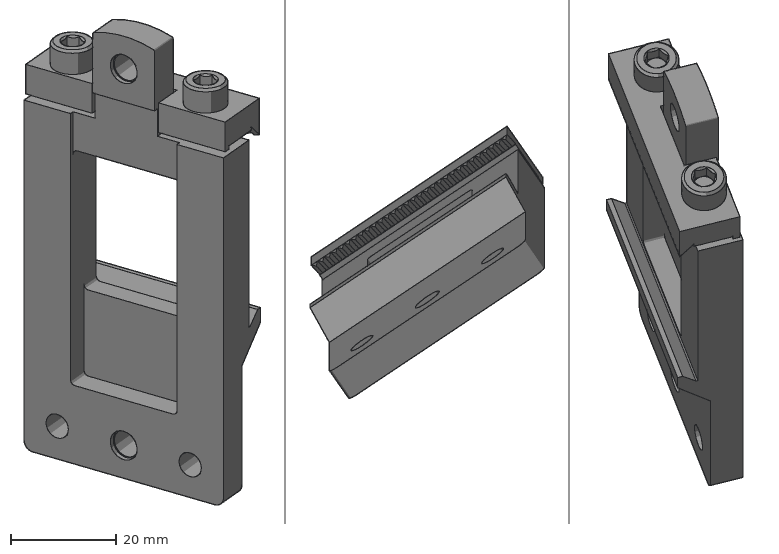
import cadquery as cq
import math

WIDTH = 45.0
HALF_WIDTH = WIDTH / 2
RAIL_TOP = 74.25
RAIL_DEPTH = 9.0
BASE_DEPTH = 6.5
BOTTOM_CORNER_RADIUS = 2.0

WINDOW_WIDTH = 24.0
WINDOW_TOP = 66.2
WINDOW_BOTTOM = 35.0
POCKET_BOTTOM = 16.7
POCKET_DEPTH = 4.75
WINDOW_CORNER_RADIUS = 1.0
BAR_RECESS = 0.9

HOOK_REACH = 13.0
HOOK_TIP_TOP = 36.95
HOOK_TIP_BOTTOM = 33.8
HOOK_TIP_WIDTH = 1.0
HOOK_ROOT_HEIGHT = 34.5
HOOK_ROOT_WIDTH = 0.35
HOOK_UNDERSIDE_START = HOOK_TIP_BOTTOM - (HOOK_REACH - BASE_DEPTH)

TAB_WIDTH = 14.0
TAB_TOP = 94.0
TAB_STEP = 80.0
TAB_ARC_RADIUS = 22.0
TAB_EDGE_RADIUS = 0.5

BASE_HOLE_HEIGHT = 7.0
BASE_HOLE_OFFSET = 15.0
BASE_HOLE_DIAMETER = 5.0
EYE_HOLE_SPACING = 80.0
EYE_HOLE_HEIGHT = BASE_HOLE_HEIGHT + EYE_HOLE_SPACING
EYE_HOLE_DIAMETER = 5.5
EYE_MOUTH_DIAMETER = 6.0
EYE_MOUTH_DEPTH = 1.0

CLAMP_FRONT = 0.6
CLAMP_REAR = 12.6
CLAMP_TOP = 81.6
CLAMP_UNDERSIDE = 76.0
CLAMP_LIP_BOTTOM = 75.3
CLAMP_LIP_REAR = 2.0
CLAMP_TIP_BOTTOM = 73.8
JAW_START = 9.75
JAW_DROP = CLAMP_UNDERSIDE - CLAMP_TIP_BOTTOM
TAB_CLEARANCE = 0.5

TOOTH_PITCH = 1.5
TOOTH_DEPTH = 0.5
TOOTH_COUNT = round(WIDTH / TOOTH_PITCH)

SCREW_OFFSET = 15.0
SCREW_Y = 5.4
SCREW_DIAMETER = 5.0
SCREW_LENGTH = 20.0
SCREW_CLEARANCE_DIAMETER = 5.5
HEAD_DIAMETER = 8.5
HEAD_HEIGHT = 5.0
HEAD_CHAMFER = 0.5
SOCKET_FLATS = 4.0
SOCKET_CORNERS = SOCKET_FLATS / math.cos(math.pi / 6)
SOCKET_DEPTH = 2.5
SOCKET_MOUTH_CHAMFER = 0.1
SOCKET_CONE_DEPTH = SOCKET_FLATS / 2 * math.tan(math.pi / 6)

SCREW_POINTS = [(-SCREW_OFFSET, SCREW_Y), (SCREW_OFFSET, SCREW_Y)]


def front_box(width, bottom, top, front, rear):
    """Block centred on X between two heights and two depths."""
    return (
        cq.Workplane("XY")
        .box(width, rear - front, top - bottom, centered=(True, False, False))
        .translate((0, front, bottom))
    )


def side_prism(outline):
    """Closed (Y, Z) outline extruded over the full width."""
    return cq.Workplane("YZ").polyline(outline).close().extrude(HALF_WIDTH, both=True)


def front_hole(x, z, diameter, depth):
    """Cylinder running from the front face toward +Y."""
    return cq.Workplane("XZ", origin=(x, 0, z)).circle(diameter / 2).extrude(-depth)


def make_eye_tab():
    half = TAB_WIDTH / 2
    shoulder = TAB_TOP - TAB_ARC_RADIUS + math.sqrt(TAB_ARC_RADIUS**2 - half**2)
    tab = (
        cq.Workplane("XZ")
        .moveTo(-half, TAB_STEP)
        .lineTo(half, TAB_STEP)
        .lineTo(half, shoulder)
        .threePointArc((0, TAB_TOP), (-half, shoulder))
        .close()
        .extrude(-BASE_DEPTH)
    )
    tab = tab.edges("|Y").edges(">Z").fillet(TAB_EDGE_RADIUS)
    neck = front_box(TAB_WIDTH, RAIL_TOP, TAB_STEP, BAR_RECESS, BASE_DEPTH)
    return tab.union(neck)


def make_frame():
    frame = side_prism([
        (0, 0),
        (BASE_DEPTH, 0),
        (BASE_DEPTH, HOOK_UNDERSIDE_START),
        (HOOK_REACH, HOOK_TIP_BOTTOM),
        (HOOK_REACH, HOOK_TIP_TOP),
        (HOOK_REACH - HOOK_TIP_WIDTH, HOOK_TIP_TOP),
        (RAIL_DEPTH + HOOK_ROOT_WIDTH, HOOK_ROOT_HEIGHT),
        (RAIL_DEPTH, HOOK_ROOT_HEIGHT),
        (RAIL_DEPTH, RAIL_TOP),
        (0, RAIL_TOP),
    ])
    frame = frame.edges("|Y and <Z").fillet(BOTTOM_CORNER_RADIUS)

    pocket = front_box(WINDOW_WIDTH, POCKET_BOTTOM, WINDOW_TOP, 0, POCKET_DEPTH)
    window = front_box(WINDOW_WIDTH, WINDOW_BOTTOM, WINDOW_TOP, 0, RAIL_DEPTH)
    bar_recess = front_box(WINDOW_WIDTH, WINDOW_TOP - WINDOW_CORNER_RADIUS, RAIL_TOP, 0, BAR_RECESS)
    for opening in (pocket, window):
        frame = frame.cut(opening.edges("|Y").fillet(WINDOW_CORNER_RADIUS))
    frame = frame.cut(bar_recess).union(make_eye_tab())

    for side in (-1, 1):
        x = side * BASE_HOLE_OFFSET
        frame = frame.cut(front_hole(x, BASE_HOLE_HEIGHT, BASE_HOLE_DIAMETER, BASE_DEPTH))
    for height in (BASE_HOLE_HEIGHT, EYE_HOLE_HEIGHT):
        hole = front_hole(0, height, EYE_HOLE_DIAMETER, BASE_DEPTH)
        mouth = front_hole(0, height, EYE_MOUTH_DIAMETER, EYE_MOUTH_DEPTH)
        frame = frame.cut(hole).cut(mouth)

    screw_hole_bottom = CLAMP_TOP - SCREW_LENGTH
    screw_holes = (
        cq.Workplane("XY", origin=(0, 0, screw_hole_bottom))
        .pushPoints(SCREW_POINTS)
        .circle(SCREW_DIAMETER / 2)
        .extrude(RAIL_TOP - screw_hole_bottom)
    )
    return frame.cut(screw_holes)


def make_jaw_grooves():
    """V grooves running down the sloping jaw face, half a groove at each end."""
    slope_plane = cq.Plane(
        origin=(0, JAW_START, CLAMP_UNDERSIDE), xDir=(-1, 0, 0), normal=(0, 1, -1)
    )
    run = 2 * JAW_DROP
    half_pitch = TOOTH_PITCH / 2
    grooves = cq.Workplane(slope_plane)
    for index in range(TOOTH_COUNT + 1):
        x = -HALF_WIDTH + index * TOOTH_PITCH
        grooves = grooves.moveTo(x - half_pitch, 0).lineTo(x, TOOTH_DEPTH)
        grooves = grooves.lineTo(x + half_pitch, 0).close()
    grooves = grooves.extrude(run, both=True)
    zone_width = WIDTH + 2 * TOOTH_PITCH
    jaw_zone = front_box(zone_width, CLAMP_TIP_BOTTOM, CLAMP_TOP, JAW_START, CLAMP_REAR)
    return grooves.intersect(jaw_zone)


def make_clamp():
    clamp = side_prism([
        (CLAMP_FRONT, CLAMP_LIP_BOTTOM),
        (CLAMP_LIP_REAR, CLAMP_LIP_BOTTOM),
        (CLAMP_LIP_REAR, CLAMP_UNDERSIDE),
        (JAW_START, CLAMP_UNDERSIDE),
        (JAW_START + JAW_DROP, CLAMP_TIP_BOTTOM),
        (CLAMP_REAR, CLAMP_TIP_BOTTOM),
        (CLAMP_REAR, CLAMP_TOP),
        (CLAMP_FRONT, CLAMP_TOP),
    ])
    tab_notch = front_box(
        TAB_WIDTH + 2 * TAB_CLEARANCE, CLAMP_LIP_BOTTOM, CLAMP_TOP, 0, BASE_DEPTH + TAB_CLEARANCE
    )
    screw_holes = (
        cq.Workplane("XY", origin=(0, 0, CLAMP_LIP_BOTTOM))
        .pushPoints(SCREW_POINTS)
        .circle(SCREW_CLEARANCE_DIAMETER / 2)
        .extrude(CLAMP_TOP - CLAMP_LIP_BOTTOM)
    )
    return clamp.cut(tab_notch).cut(screw_holes).cut(make_jaw_grooves())


def make_screw(x, y):
    head_top = CLAMP_TOP + HEAD_HEIGHT
    head = cq.Workplane("XY", origin=(x, y, CLAMP_TOP)).circle(HEAD_DIAMETER / 2).extrude(HEAD_HEIGHT)
    head = head.faces(">Z").chamfer(HEAD_CHAMFER)
    shank = cq.Workplane("XY", origin=(x, y, CLAMP_TOP)).circle(SCREW_DIAMETER / 2).extrude(-SCREW_LENGTH)

    socket = (
        cq.Workplane(cq.Plane(origin=(x, y, head_top), xDir=(0, 1, 0), normal=(0, 0, 1)))
        .polygon(6, SOCKET_CORNERS)
        .extrude(-SOCKET_DEPTH)
    )
    down = cq.Vector(0, 0, -1)
    floor_cone = cq.Solid.makeCone(
        SOCKET_FLATS / 2, 0, SOCKET_CONE_DEPTH, cq.Vector(x, y, head_top - SOCKET_DEPTH), down
    )
    mouth_radius = SOCKET_CORNERS / 2 + SOCKET_MOUTH_CHAMFER
    mouth_cone = cq.Solid.makeCone(mouth_radius, 0, mouth_radius, cq.Vector(x, y, head_top), down)
    return head.union(shank).cut(socket).cut(floor_cone).cut(mouth_cone)


frame = make_frame()
clamp = make_clamp()
screws = [make_screw(x, y) for x, y in SCREW_POINTS]

result = cq.Compound.makeCompound([frame.val(), clamp.val(), *[screw.val() for screw in screws]])